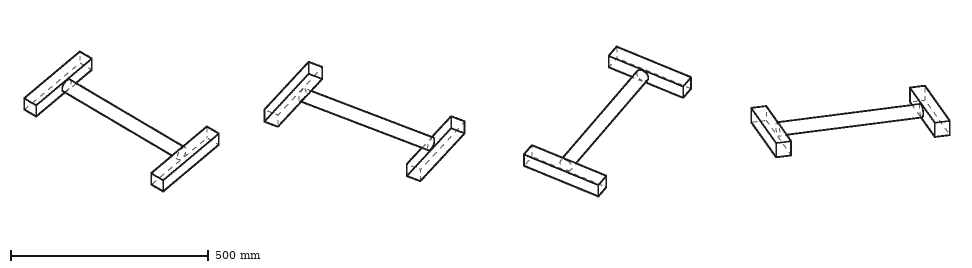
import cadquery as cq

overall_length = 460.0
bar_length = 220.0
bar_side = 40.0

rod_diameter = 35.0
rod_offset_y = 10.0

rod_length = overall_length - 2 * bar_side
bar_center_x = (overall_length - bar_side) / 2


def end_bar(center_x):
    """Square bar running along Y, centred at the given X."""
    return cq.Workplane("XY").box(bar_side, bar_length, bar_side).translate((center_x, 0, 0))


def rod():
    """Round rod along X, spanning the gap between the inner faces of the bars."""
    return (
        cq.Workplane("YZ", origin=(-rod_length / 2, rod_offset_y, 0))
        .circle(rod_diameter / 2)
        .extrude(rod_length)
    )


result = rod()
for side in (-1, 1):
    result = result.union(end_bar(side * bar_center_x))